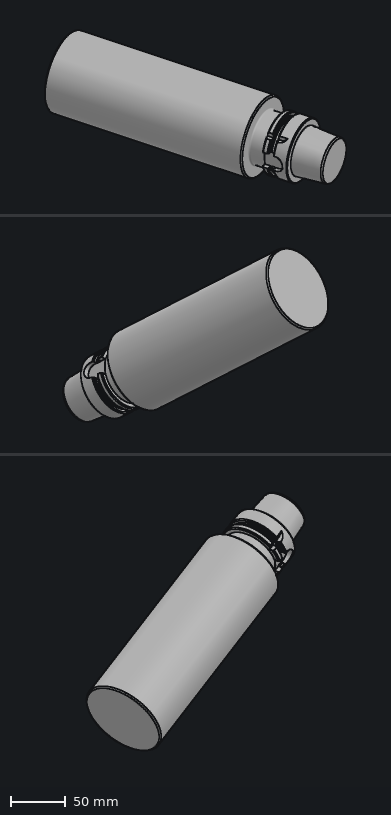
import cadquery as cq

total_length = 282.0
body_end = 207.3
collar_start = 223.3
groove_start = 229.5
groove_end = 234.5
flange_end = 249.9

body_radius = 80.0 / 2
neck_radius = 52.7 / 2
flange_radius = 63.0 / 2
groove_radius = 26.8
taper_base_radius = 24.5
taper_tip_radius = 22.5

body_chamfer = 1.5
neck_fillet = 1.7
collar_chamfer = 1.0
flange_chamfer = 0.8
groove_bevel = 1.0
tip_chamfer_length = 2.0
tip_chamfer_depth = 0.8

slot_width = 16.0
slot_end = 245.0
slot_floor = 25.7
notch_floor = 20.0


def turned_profile():
    """Revolve the blank, neck, grooved flange and taper shank about X."""
    bevel_radius = groove_radius + groove_bevel
    flange_edge_radius = flange_radius - collar_chamfer
    profile = (
        cq.Workplane("XY")
        .moveTo(0, 0)
        .lineTo(0, body_radius - body_chamfer)
        .lineTo(body_chamfer, body_radius)
        .lineTo(body_end - body_chamfer, body_radius)
        .lineTo(body_end, body_radius - body_chamfer)
        .lineTo(body_end, neck_radius + neck_fillet)
        .radiusArc((body_end + neck_fillet, neck_radius), -neck_fillet)
        .lineTo(collar_start, neck_radius)
        .lineTo(collar_start, flange_edge_radius)
        .lineTo(collar_start + collar_chamfer, flange_radius)
        .lineTo(groove_start - collar_chamfer, flange_radius)
        .lineTo(groove_start, flange_edge_radius)
        .lineTo(groove_start, bevel_radius)
        .lineTo(groove_start + groove_bevel, groove_radius)
        .lineTo(groove_end - groove_bevel, groove_radius)
        .lineTo(groove_end, bevel_radius)
        .lineTo(groove_end, flange_edge_radius)
        .lineTo(groove_end + collar_chamfer, flange_radius)
        .lineTo(flange_end - flange_chamfer, flange_radius)
        .lineTo(flange_end, flange_radius - flange_chamfer)
        .lineTo(flange_end, taper_base_radius)
        .lineTo(total_length - tip_chamfer_length, taper_tip_radius)
        .lineTo(total_length, taper_tip_radius - tip_chamfer_depth)
        .lineTo(total_length, 0)
        .close()
    )
    return profile.revolve(360, (0, 0, 0), (1, 0, 0))


def slot_cutter(center_z, floor):
    """Round-ended slot, open toward the neck, cut from the -Y side down to Y = -floor."""
    end_radius = slot_width / 2
    arc_center = slot_end - end_radius
    return (
        cq.Workplane("XZ", origin=(0, -floor, 0))
        .moveTo(collar_start, center_z - end_radius)
        .lineTo(arc_center, center_z - end_radius)
        .threePointArc((slot_end, center_z), (arc_center, center_z + end_radius))
        .lineTo(collar_start, center_z + end_radius)
        .close()
        .extrude(flange_radius)
    )


drive_slot = slot_cutter(0, slot_floor)
opposite_drive_slot = drive_slot.mirror("XZ")
orientation_notch = slot_cutter(notch_floor + slot_width / 2, notch_floor)

result = turned_profile()
for cutter in (drive_slot, opposite_drive_slot, orientation_notch):
    result = result.cut(cutter)